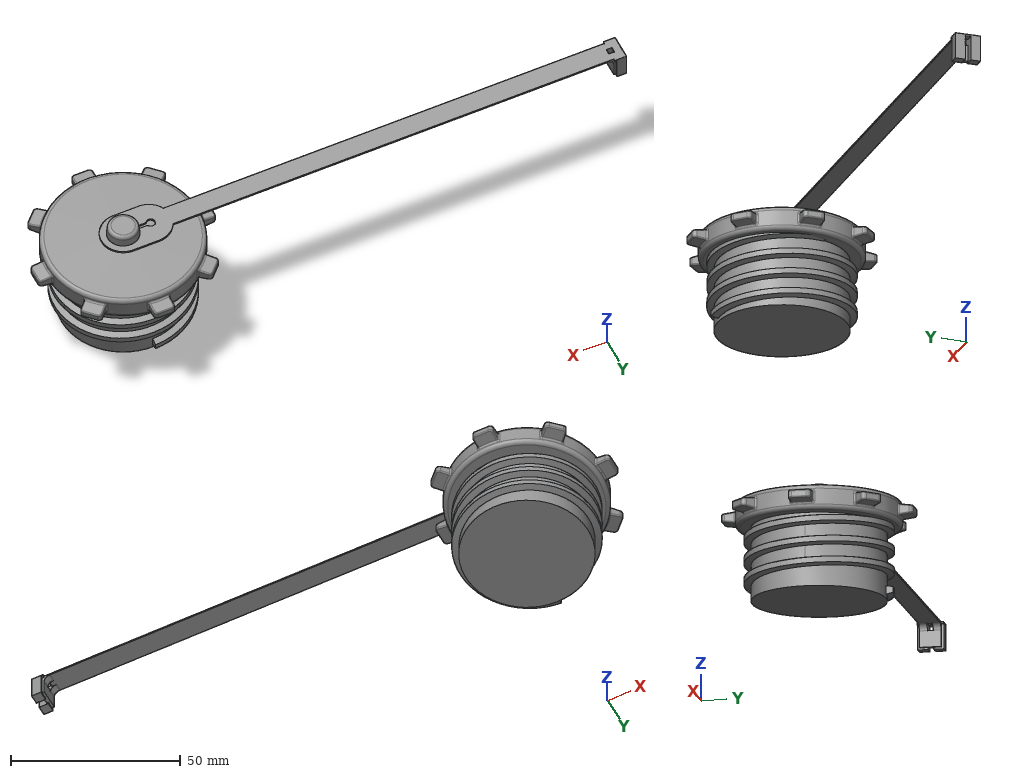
import cadquery as cq
import math


tolerance = 0.02

flange_radius = 24.8
flange_bottom = 22.3
flange_top = 29.8
flange_fillet = 1.3
crown_top = 30.7

lug_count = 8
lug_reach = 29.0
lug_width = 6.7
lug_root_height = 3.8
lug_tip_height = 2.3
lug_corner_radius = 1.2
lug_edge_fillet = 0.4
lug_root_fillet = 0.5
lug_root_radius = 23.0
lug_z = (flange_bottom + flange_top) / 2

plug_radius = 20.2
thread_radius = 22.3
thread_pitch = 6.3
thread_turns = 3.3
thread_start_z = 2.5
thread_start_angle = 90
thread_root_width = 2.9
thread_crest_width = 1.7
thread_embed = 0.4

strap_thickness = 0.5
strap_width = 6.5
strap_bottom = crown_top
strap_top = strap_bottom + strap_thickness
strap_end_x = -163.0

eye_radius = 7.1
eye_rear_x = -8.5
relief_x = -9.0
relief_radius = 1.3
slit_width = 1.2

hook_height = 8.0
hook_leg_length = 3.0
hook_plate_length = 3.8
hook_width = 7.9
hook_slot_width = 1.7
hook_hole_size = 1.7
hook_wall_front = 2.5
hook_wall_back = 3.8
hook_wall_lift = 0.5
hook_window_height = 2.0
hook_fillet = 2.0

knob_neck_radius = 3.6
knob_base_radius = 5.0
knob_radius = 4.6
knob_fillet = 1.2
knob_top = 34.8


def make_flange():
    flange = (
        cq.Workplane("XY")
        .workplane(offset=flange_bottom)
        .circle(flange_radius)
        .extrude(flange_top - flange_bottom)
    )
    return add_lugs(flange).faces("<Z or >Z").edges().fillet(flange_fillet)


def make_crown():
    return (
        cq.Workplane("XZ")
        .moveTo(0, flange_top)
        .lineTo(flange_radius - flange_fillet, flange_top)
        .lineTo(0, crown_top)
        .close()
        .revolve(360, (0, 0, 0), (0, 1, 0))
    )


def is_lug_root(edge):
    """True for the edges where a lug meets the straight wall of the flange."""
    middle = edge.positionAt(0.5)
    on_wall = abs(math.hypot(middle.x, middle.y) - flange_radius) < tolerance
    return on_wall and abs(middle.z - lug_z) < lug_root_height / 2 + tolerance


def add_lugs(flange):
    lug = (
        cq.Workplane("XZ")
        .polyline(
            [
                (lug_root_radius, lug_z - lug_root_height / 2),
                (lug_reach, lug_z - lug_tip_height / 2),
                (lug_reach, lug_z + lug_tip_height / 2),
                (lug_root_radius, lug_z + lug_root_height / 2),
            ]
        )
        .close()
        .extrude(lug_width / 2, both=True)
        .edges("|Z and >X")
        .fillet(lug_corner_radius)
        .faces("not (|X or |Y)")
        .edges("(not |Z) and (not <X)")
        .fillet(lug_edge_fillet)
    )
    for i in range(lug_count):
        flange = flange.union(lug.rotate((0, 0, 0), (0, 0, 1), i * 360 / lug_count))
    lug_roots = [edge for edge in flange.edges().vals() if is_lug_root(edge)]
    return flange.newObject(lug_roots).fillet(lug_root_fillet)


def make_thread():
    helix = cq.Wire.makeHelix(thread_pitch, thread_pitch * thread_turns, plug_radius)
    inner_radius = plug_radius - thread_embed
    return (
        cq.Workplane("XZ")
        .polyline(
            [
                (inner_radius, -thread_root_width / 2),
                (thread_radius, -thread_crest_width / 2),
                (thread_radius, thread_crest_width / 2),
                (inner_radius, thread_root_width / 2),
            ]
        )
        .close()
        .sweep(cq.Workplane(helix), isFrenet=True)
        .rotate((0, 0, 0), (0, 0, 1), thread_start_angle)
        .translate((0, 0, thread_start_z))
    )


def make_knob():
    neck = (
        cq.Workplane("XY")
        .workplane(offset=flange_top)
        .circle(knob_neck_radius)
        .extrude(strap_top - flange_top)
    )
    head = (
        cq.Workplane("XY")
        .workplane(offset=strap_top)
        .circle(knob_base_radius)
        .workplane(offset=knob_top - strap_top)
        .circle(knob_radius)
        .loft()
        .faces(">Z")
        .edges()
        .fillet(knob_fillet)
    )
    return neck.union(head)


def make_cap():
    plug = cq.Workplane("XY").circle(plug_radius).extrude(flange_top)
    return plug.union(make_thread()).union(make_flange()).union(make_crown()).union(make_knob())


def box_along_x(start_x, bottom_z, length, width, height):
    """A box that starts at start_x, stands on bottom_z and is centred on Y = 0."""
    box = cq.Workplane("XY").box(length, width, height, centered=(False, True, False))
    return box.translate((start_x, 0, bottom_z))


def make_strap_band():
    band = box_along_x(strap_end_x, strap_bottom, -strap_end_x, strap_width, strap_thickness)
    eye = (
        cq.Workplane("XY")
        .workplane(offset=strap_bottom)
        .center(eye_rear_x / 2, 0)
        .slot2D(2 * eye_radius - eye_rear_x, 2 * eye_radius)
        .extrude(strap_thickness)
    )
    return band.union(eye)


def make_keyhole():
    plane = cq.Workplane("XY").workplane(offset=strap_bottom)
    neck_hole = plane.circle(knob_neck_radius).extrude(strap_thickness)
    relief = plane.center(relief_x, 0).circle(relief_radius).extrude(strap_thickness)
    slit = plane.center(relief_x / 2, 0).rect(-relief_x, slit_width).extrude(strap_thickness)
    return neck_hole.union(relief).union(slit)


def make_hook():
    """The hook with its outer end at X = 0 and the top of the strap at Z = 0."""
    head = box_along_x(0, -hook_height, hook_leg_length, hook_width, hook_height)
    slot = box_along_x(0, -hook_height, hook_leg_length, hook_slot_width, hook_height)
    plate = box_along_x(0, -strap_thickness, hook_plate_length, hook_width, strap_thickness)

    wall_bottom = hook_wall_lift - hook_height
    wall = (
        cq.Workplane("XZ")
        .moveTo(hook_wall_front, wall_bottom)
        .lineTo(hook_wall_back, wall_bottom)
        .lineTo(hook_wall_back, -strap_thickness - hook_fillet)
        .radiusArc((hook_wall_back + hook_fillet, -strap_thickness), hook_fillet)
        .lineTo(hook_wall_front, -strap_thickness)
        .close()
        .extrude(strap_width / 2, both=True)
    )
    window_bottom = -strap_thickness - hook_window_height
    window_length = hook_wall_back + hook_fillet
    window = box_along_x(0, window_bottom, window_length, hook_slot_width, hook_window_height)
    return head.cut(slot).union(plate).union(wall.cut(window))


def make_strap():
    hook = make_hook().translate((strap_end_x, 0, strap_top))
    hole_start_x = strap_end_x + hook_wall_front
    hook_hole = box_along_x(hole_start_x, strap_bottom, hook_hole_size, hook_hole_size, strap_thickness)
    return make_strap_band().cut(make_keyhole()).union(hook).cut(hook_hole)


cap = make_cap()
strap = make_strap()
result = cq.Compound.makeCompound([cap.solids().val(), strap.solids().val()])